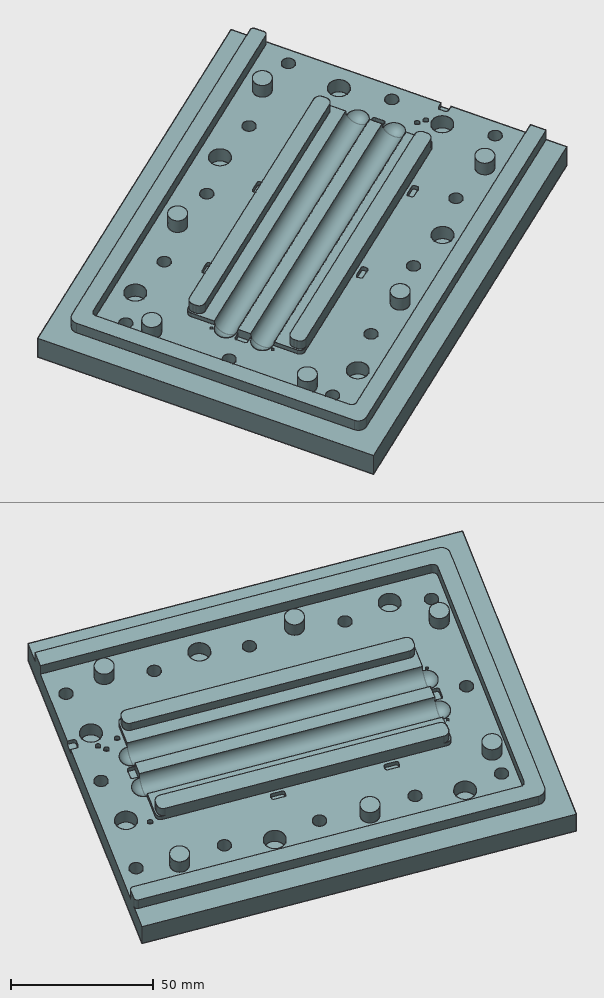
import cadquery as cq

plate_width = 130.0
plate_length = 160.0
plate_thickness = 10.0
total_height = 16.0
back_y = plate_length / 2

rim_side_margin = 8.0
rim_front_margin = 8.2
rim_thickness = 6.0
rim_height = 5.0
rim_outer_radius = 3.2
rim_inner_radius = 2.0
rim_end_radius = 1.3

block_width = 45.1
block_length = 108.8
block_center_y = 6.4
block_height = 2.0
block_corner_radius = 2.0
rail_width = 6.0
rail_length = 107.5
rail_corner_radius = 2.4

channel_diameter = 9.1
channel_offset_x = 7.0
channel_axis_z = plate_thickness + block_height

gate_width = 4.8
gate_reach = 3.0
gate_depth = 2.0
gate_corner_radius = 0.8

screw_hole_diameter = 5.0
screw_x = 40.0
screw_rows_y = [74.0, 41.6, 6.5, -28.6, -60.5]
pin_diameter = 7.0
socket_diameter = 8.0
socket_depth = 6.4
side_column_x = 43.0
side_pin_rows_y = [59.0, -11.0]
side_socket_rows_y = [24.0, -46.0]
front_pin_x = 30.0
front_pin_y = -60.2
back_sockets = [(-19.0, 71.0), (21.0, 71.0)]

small_hole_diameter = 2.0
small_holes = [(-22.2, 63.2), (16.0, 63.0), (12.6, 68.0), (14.9, 70.4)]
vent_diameter = 1.0
vent_x = 11.8
vent_y = -49.8
detail_depth = 2.0
slot_width = 2.5
slot_length = 5.3
slot_corner_radius = 0.8
notch_corner_radius = 1.0
slots = [(-25.0, 17.0), (-25.0, -25.0), (25.0, 38.2), (25.0, -3.8)]
notch_x = 18.2
notch_width = 3.8
notch_reach = 3.0


def box_on(width, length, height, x, y, bottom_z):
    """Box centred at (x, y) whose underside is at bottom_z."""
    return (
        cq.Workplane("XY", origin=(x, y, bottom_z))
        .box(width, length, height, centered=(True, True, False))
    )


def cylinders(points, diameter, bottom_z, height):
    """Vertical cylinders at the given points."""
    return (
        cq.Workplane("XY", origin=(0, 0, bottom_z))
        .pushPoints(points)
        .circle(diameter / 2)
        .extrude(height)
    )


def mirrored_columns(x, rows_y):
    """Points in two columns at -x and +x."""
    return [(side * x, y) for side in (-1, 1) for y in rows_y]


def blind_holes(points, diameter, depth):
    """Cutters that sink from the plate surface."""
    return cylinders(points, diameter, plate_thickness - depth, depth + block_height)


def make_rim():
    outer_width = plate_width - 2 * rim_side_margin
    outer_length = plate_length - rim_front_margin
    inner_width = outer_width - 2 * rim_thickness
    inner_length = outer_length - rim_thickness
    outer_y = back_y - outer_length / 2
    inner_y = back_y - inner_length / 2
    outer = (
        box_on(outer_width, outer_length, rim_height, 0, outer_y, plate_thickness)
        .edges("|Z and <Y")
        .fillet(rim_outer_radius)
    )
    inner = (
        box_on(inner_width, inner_length, rim_height, 0, inner_y, plate_thickness)
        .edges("|Z and <Y")
        .fillet(rim_inner_radius)
    )
    return outer.cut(inner).faces(">Y").faces("<X").edges("|Z").fillet(rim_end_radius)


def make_block():
    """Cavity block together with its two slightly shorter rails."""
    block = (
        box_on(block_width, block_length, block_height, 0, block_center_y, plate_thickness)
        .edges("|Z")
        .fillet(block_corner_radius)
    )
    rail_x = (block_width - rail_width) / 2
    rail_height = total_height - plate_thickness
    for x in (-rail_x, rail_x):
        rail = (
            box_on(rail_width, rail_length, rail_height, x, block_center_y, plate_thickness)
            .edges("|Z")
            .fillet(rail_corner_radius)
        )
        block = block.union(rail)
    return block


def make_channel(x):
    """Cutter along Y with a ball at each end face of the block."""
    start_y = block_center_y - block_length / 2
    channel = (
        cq.Workplane("XZ", origin=(x, start_y, channel_axis_z))
        .circle(channel_diameter / 2)
        .extrude(-block_length)
    )
    for y in (start_y, start_y + block_length):
        ball = cq.Workplane("XY", origin=(x, y, channel_axis_z)).sphere(channel_diameter / 2)
        channel = channel.union(ball)
    return channel


def make_gate(end):
    """Pocket against the front (end = -1) or back (end = 1) face of the block."""
    y = block_center_y + end * (block_length + gate_reach) / 2
    gate = box_on(gate_width, gate_reach, gate_depth, 0, y, plate_thickness - gate_depth)
    far_corners = "|Z and >Y" if end > 0 else "|Z and <Y"
    return gate.edges(far_corners).fillet(gate_corner_radius)


def make_slot(x, y):
    slot = box_on(slot_width, slot_length, detail_depth, x, y, plate_thickness - detail_depth)
    return slot.edges("|Z").fillet(slot_corner_radius)


def make_notch():
    y = back_y - notch_reach / 2
    notch = box_on(notch_width, notch_reach, detail_depth, notch_x, y, plate_thickness - detail_depth)
    return notch.edges("|Z and <Y").fillet(notch_corner_radius)


pins = mirrored_columns(side_column_x, side_pin_rows_y) + mirrored_columns(front_pin_x, [front_pin_y])
sockets = mirrored_columns(side_column_x, side_socket_rows_y) + back_sockets
screws = mirrored_columns(screw_x, screw_rows_y) + [(0, screw_rows_y[0]), (0, screw_rows_y[-1])]

result = box_on(plate_width, plate_length, plate_thickness, 0, 0, 0)
result = result.union(make_rim()).union(make_block())
result = result.union(cylinders(pins, pin_diameter, 0, total_height))

for side in (-1, 1):
    result = result.cut(make_channel(side * channel_offset_x))
    result = result.cut(make_gate(side))
for x, y in slots:
    result = result.cut(make_slot(x, y))
result = result.cut(make_notch())
result = result.cut(cylinders(screws, screw_hole_diameter, 0, plate_thickness))
result = result.cut(blind_holes(sockets, socket_diameter, socket_depth))
result = result.cut(blind_holes(small_holes, small_hole_diameter, detail_depth))
result = result.cut(blind_holes(mirrored_columns(vent_x, [vent_y]), vent_diameter, detail_depth))